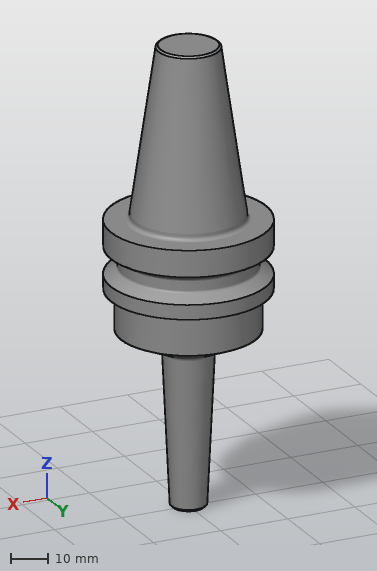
import cadquery as cq
import math

total_length = 133.4
taper_length = 48.4
tip_z = taper_length - total_length

gauge_radius = 15.9
taper_ratio = 7 / 24
taper_top_radius = gauge_radius - taper_length * taper_ratio / 2
taper_top_chamfer = 0.5

flange_radius = 46.0 / 2
flange_top_z = -2.0
flange_bottom_z = -22.0
neck_fillet = 1.2
groove_top_z = -9.7
groove_bottom_z = -17.7
groove_root_radius = 19.2
groove_wall_slope = math.tan(math.radians(30))
groove_wall_height = (flange_radius - groove_root_radius) * groove_wall_slope
groove_root_fillet = 0.7

nose_radius = 20.0
nose_bottom_z = -33.6
shank_top_z = -39.6
shank_top_radius = 7.2
shank_tip_radius = 5.1
shank_fillet = 1.1
tip_chamfer = 0.8

profile = [
    (0, taper_length),
    (taper_top_radius, taper_length),
    (gauge_radius, 0),
    (gauge_radius, flange_top_z),
    (flange_radius, flange_top_z),
    (flange_radius, groove_top_z),
    (groove_root_radius, groove_top_z - groove_wall_height),
    (groove_root_radius, groove_bottom_z + groove_wall_height),
    (flange_radius, groove_bottom_z),
    (flange_radius, flange_bottom_z),
    (nose_radius, flange_bottom_z),
    (nose_radius, nose_bottom_z),
    (shank_top_radius, shank_top_z),
    (shank_tip_radius, tip_z),
    (0, tip_z),
]
body = cq.Workplane("XZ").polyline(profile).close().revolve(360, (0, 0), (0, 1))


def circle_at(radius, z):
    """Select the circular edge of the given radius and height."""
    margin = 0.01
    reach = radius + margin
    return cq.selectors.BoxSelector(
        (-reach, -reach, z - margin), (reach, reach, z + margin), boundingbox=True
    ) - cq.selectors.BoxSelector(
        (margin - radius, margin - radius, z - margin),
        (radius - margin, radius - margin, z + margin),
        boundingbox=True,
    )


body = body.edges(circle_at(gauge_radius, flange_top_z)).fillet(neck_fillet)

for corner_z in (groove_top_z - groove_wall_height, groove_bottom_z + groove_wall_height):
    body = body.edges(circle_at(groove_root_radius, corner_z)).fillet(groove_root_fillet)

body = body.edges(circle_at(shank_top_radius, shank_top_z)).fillet(shank_fillet)

body = body.faces(">Z").edges().chamfer(taper_top_chamfer)
body = body.faces("<Z").edges().chamfer(tip_chamfer)

result = body